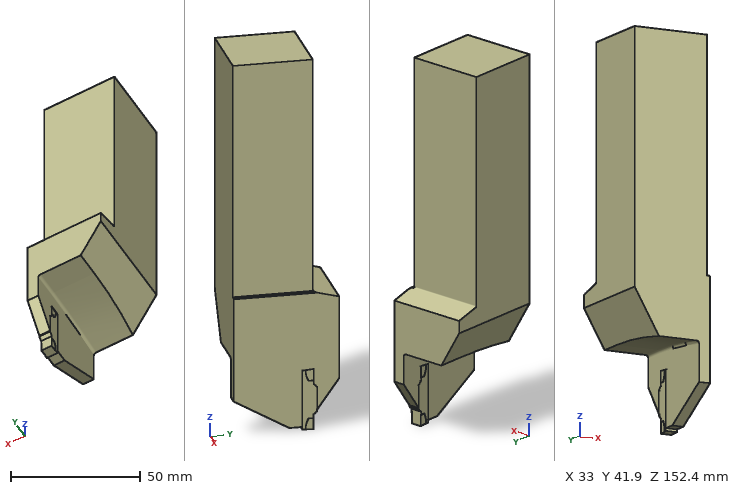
import cadquery as cq
import math

total_height = 152.4
head_depth = 41.9

shank_width = 31.7
shank_depth = shank_width

head_width = 33.0
shoulder_z = 56.8
back_shoulder_angle = 15.0
back_shoulder_drop = (head_depth - shank_depth) * math.tan(math.radians(back_shoulder_angle))
side_shoulder_bevel = 0.5
shank_root_radius = 0.6
chamfer_start_z = 48.9
chamfer_angle = 60.0
underside_back_z = 33.2
underside_front_z = 30.5
blade_root_radius = 1.2

blade_thickness = 4.9
blade_left = head_width - blade_thickness
blade_bottom_z = 1.4
blade_toe_depth = 22.1
blade_toe_angle = 30.0
blade_front_z = blade_bottom_z + blade_toe_depth * math.tan(math.radians(blade_toe_angle))
blade_back_z = 20.4
blade_heel_z = 6.1

insert_height = 25.0
insert_edge_y = shank_depth
insert_rear_y = 27.3
insert_end_relief = 0.3
insert_middle_z = insert_height / 2
rib_height = 1.4
rib_half_length = 5.0
rib_root_half_length = 6.4
tip_relief = 0.2
tip_length = 4.7
tip_flat = 2.0
tip_depth = 3.0
tip_arc_mid = (2.7, 3.0)


def side_profile(start_x):
    """Workplane at start_x with local coordinates (Y, Z), extruding toward +X."""
    return cq.Workplane("YZ", origin=(start_x, 0, 0))


def make_shank():
    return cq.Workplane("XY").box(
        shank_width, shank_depth, total_height - chamfer_start_z, centered=False
    ).translate((0, 0, chamfer_start_z))


def make_head():
    """Head block with a flat then falling curved underside, and a chamfered side."""
    drop = underside_back_z - underside_front_z
    curve_radius = (shank_depth**2 + drop**2) / (2 * drop)
    mid_y = shank_depth / 2
    mid_drop = curve_radius - math.sqrt(curve_radius**2 - (shank_depth - mid_y)**2)
    head = (
        side_profile(0)
        .moveTo(0, underside_front_z)
        .threePointArc((mid_y, underside_back_z - mid_drop), (shank_depth, underside_back_z))
        .lineTo(head_depth, underside_back_z)
        .lineTo(head_depth, shoulder_z - back_shoulder_drop)
        .lineTo(shank_depth, shoulder_z)
        .lineTo(0, shoulder_z)
        .close()
        .extrude(head_width)
    )
    chamfer_run = chamfer_start_z / math.tan(math.radians(chamfer_angle))
    side_chamfer = (
        cq.Workplane("XZ")
        .polyline([(0, 0), (chamfer_run, 0), (0, chamfer_start_z)])
        .close()
        .extrude(-head_depth)
    )
    side_bevel = (
        cq.Workplane("XZ")
        .polyline([
            (head_width - side_shoulder_bevel, shoulder_z),
            (head_width, shoulder_z),
            (head_width, shoulder_z - side_shoulder_bevel),
        ])
        .close()
        .extrude(-head_depth)
    )
    return head.cut(side_chamfer).cut(side_bevel)


def make_blade():
    return (
        side_profile(blade_left)
        .polyline([
            (0, underside_back_z),
            (0, blade_front_z),
            (blade_toe_depth, blade_bottom_z),
            (insert_edge_y, blade_bottom_z),
            (insert_edge_y, blade_heel_z),
            (head_depth, blade_back_z),
            (head_depth, underside_back_z),
        ])
        .close()
        .extrude(blade_thickness)
    )


def make_insert_body():
    """Insert flush with the blade, with a locating rib along its middle."""
    return (
        side_profile(blade_left)
        .polyline([
            (insert_rear_y, insert_end_relief),
            (insert_edge_y, 0),
            (insert_edge_y, insert_middle_z - rib_root_half_length),
            (insert_edge_y + rib_height, insert_middle_z - rib_half_length),
            (insert_edge_y + rib_height, insert_middle_z + rib_half_length),
            (insert_edge_y, insert_middle_z + rib_root_half_length),
            (insert_edge_y, insert_height),
            (insert_rear_y, insert_height - insert_end_relief),
        ])
        .close()
        .extrude(blade_thickness)
    )


def make_tip_relief(start_x):
    """Shallow side clearance of the lower cutting tip, starting at start_x."""
    end_slope = insert_end_relief / (insert_edge_y - insert_rear_y)
    arc_mid_inset, arc_mid_z = tip_arc_mid
    return (
        side_profile(start_x)
        .moveTo(insert_edge_y, 0)
        .lineTo(insert_edge_y, tip_length)
        .lineTo(insert_edge_y - tip_flat, tip_length)
        .threePointArc(
            (insert_edge_y - arc_mid_inset, arc_mid_z),
            (insert_edge_y - tip_depth, tip_depth * end_slope),
        )
        .close()
        .extrude(tip_relief)
    )


def make_insert():
    insert = make_insert_body()
    for start_x in (blade_left, head_width - tip_relief):
        lower_relief = make_tip_relief(start_x)
        upper_relief = lower_relief.mirror("XY", (0, 0, insert_middle_z))
        insert = insert.cut(lower_relief).cut(upper_relief)
    return insert


def make_holder(insert_body):
    """Shank, head and blade in one piece, with a pocket that fits the insert."""
    holder = make_shank().union(make_head()).union(make_blade())
    blade_root = cq.selectors.BoxSelector(
        (blade_left - blade_root_radius, -1.5, underside_front_z - 1.5),
        (blade_left + blade_root_radius, head_depth + 1.5, underside_back_z + 1.5),
    )
    holder = holder.edges(blade_root).edges("not |Z").fillet(blade_root_radius)
    back_root = cq.selectors.NearestToPointSelector((shank_width / 2, shank_depth, shoulder_z))
    holder = holder.edges("|X").edges(back_root).fillet(shank_root_radius)
    return holder.cut(insert_body)


insert = make_insert()
holder = make_holder(make_insert_body())

result = cq.Compound.makeCompound([holder.val(), insert.val()])